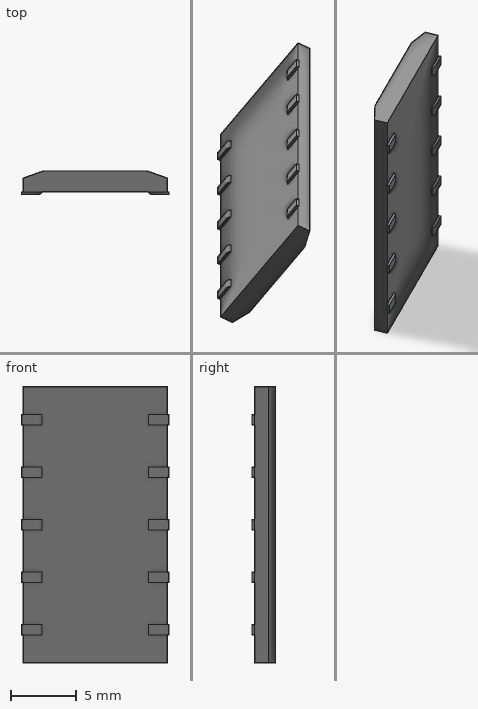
import cadquery as cq
import math

body_width = 11.0
body_length = 21.04
body_thickness = 1.6
bevel_width = 1.55
bevel_depth = 0.55

pad_length = 1.56
pad_height = 0.78
pad_thickness = 0.2
pad_overhang = 0.1
pad_pitch = 4.0
pads_per_side = 5
pad_round_radius = 0.38

half_width = body_width / 2
front_y = 0.0
back_y = front_y + body_thickness
pad_face_y = front_y - pad_thickness


def extrude_along_z(sketch, height, center_z):
    """Extrude an XY outline along Z, centred on the given height."""
    return sketch.extrude(height).translate((0, 0, center_z - height / 2))


def make_body():
    outline = (
        cq.Workplane("XY")
        .moveTo(-half_width, front_y)
        .lineTo(half_width, front_y)
        .lineTo(half_width, back_y - bevel_depth)
        .lineTo(half_width - bevel_width, back_y)
        .lineTo(-half_width + bevel_width, back_y)
        .lineTo(-half_width, back_y - bevel_depth)
        .close()
    )
    return extrude_along_z(outline, body_length, 0)


def make_pad(side, center_z):
    """Pad on the left (side = -1) or right (side = 1), rounded at its inner end."""
    outer_x = half_width + pad_overhang
    inner_x = outer_x - pad_length
    end_angle = math.acos(1 - pad_thickness / pad_round_radius)
    round_x = inner_x + pad_round_radius * math.sin(end_angle)
    arc_mid = (
        side * (round_x - pad_round_radius * math.sin(end_angle / 2)),
        pad_face_y + pad_round_radius * (1 - math.cos(end_angle / 2)),
    )
    outline = (
        cq.Workplane("XY")
        .moveTo(side * inner_x, front_y)
        .lineTo(side * outer_x, front_y)
        .lineTo(side * outer_x, pad_face_y)
        .lineTo(side * round_x, pad_face_y)
        .threePointArc(arc_mid, (side * inner_x, front_y))
        .close()
    )
    return extrude_along_z(outline, pad_height, center_z)


result = make_body()
for index in range(pads_per_side):
    pad_z = (index - (pads_per_side - 1) / 2) * pad_pitch
    for pad_side in (-1, 1):
        result = result.union(make_pad(pad_side, pad_z))